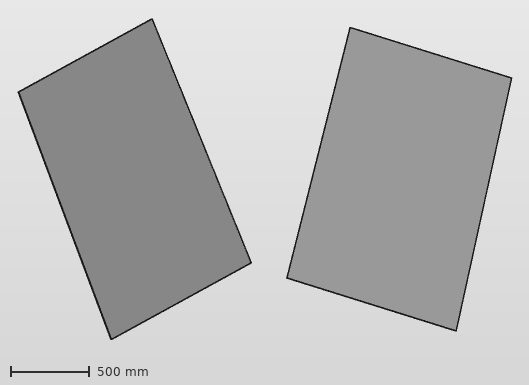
import cadquery as cq
import math

width_x = 917.0
height = 1475.0
depth_lower = 1163.0
depth_upper = 1110.0
thickness = 10.0

settling_steps = 20
slope = math.atan2(height, width_x)
for _ in range(settling_steps):
    run = width_x - thickness * math.sin(slope)
    rise = height - thickness * math.cos(slope)
    slope = math.atan2(rise, run)
length = math.hypot(run, rise)

upper_face = cq.Plane(
    origin=(width_x, 0, thickness * math.cos(slope)),
    xDir=(-math.cos(slope), 0, math.sin(slope)),
    normal=(-math.sin(slope), 0, -math.cos(slope)),
)

outline = [(0, 0), (length, 0), (length, depth_upper), (0, depth_lower)]
result = cq.Workplane(upper_face).polyline(outline).close().extrude(thickness)